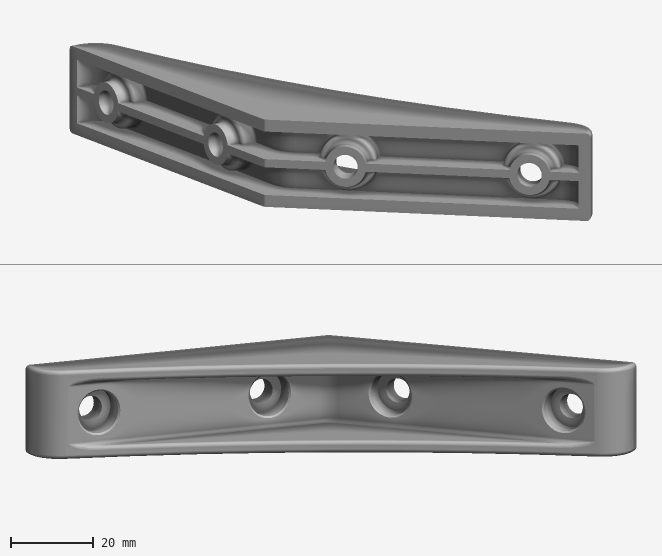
import cadquery as cq
import math

overall_length = 136.6
width = 22.0
bend = math.radians(45)
wall = 3.0
floor_top = 10.0
end_radius = 8.0
curve_radius = 364.6
curve_gap = 31.5
edge_round = 1.0
web_thickness = 2.0
recess_overrun = 6.8

hole_distances = (20.0, 65.0)
hole_diameter = 6.0
counterbore_diameter = 10.5
counterbore_depth = 5.0
mouth_chamfer = 0.4
boss_neck_radius = 5.0
boss_step = 3.0
boss_base_round = 0.7

leg_length = overall_length / (1 + math.cos(bend))
bisector = math.pi / 2 + bend / 2
corner = (leg_length, 0)
floor_bottom = floor_top - wall
inner_end_radius = end_radius - wall
cavity_width = width - 2 * wall
boss_cup_radius = boss_neck_radius + 2 * edge_round


def along_bisector(distance):
    """Point at a distance from the inner corner, measured along the bisector."""
    return (leg_length + distance * math.cos(bisector), distance * math.sin(bisector))


def crease(height):
    """Point where the planes at one height above the two leg faces meet."""
    return along_bisector(height / math.cos(bend / 2))


def on_second_leg(point):
    """Mirror a point of the first leg across the bisector."""
    along = leg_length - point[0]
    across = point[1]
    return (
        leg_length + along * math.cos(bend) - across * math.sin(bend),
        along * math.sin(bend) + across * math.cos(bend),
    )


def on_both_legs(shape):
    """Join a shape on the first leg with its copy, turned half round about the bisector."""
    return shape.union(shape.rotate((*corner, 0), (*along_bisector(1.4), 0), 180))


def edge_at(point):
    """Selector for the Z-parallel edge through a point."""
    reach = 0.07
    x, y = point
    return cq.selectors.BoxSelector((x - reach, y - reach, -width), (x + reach, y + reach, width))


def bent_strip(start, low, high):
    """Band along both legs, from `low` to `high` above the leg faces, as wide as the cavity."""
    lower = [(start, low), crease(low), on_second_leg((start, low))]
    upper = [on_second_leg((start, high)), crease(high), (start, high)]
    outline = cq.Workplane("XY").polyline(lower + upper).close()
    return outline.extrude(cavity_width / 2, both=True)


def make_body():
    """Solid bracket with a concave outer face and rounded edges."""
    center_x, center_y = along_bisector(curve_gap + curve_radius)
    first_end = (0, center_y - math.sqrt(curve_radius**2 - center_x**2))
    second_end = on_second_leg(first_end)
    body = (
        cq.Workplane("XY")
        .lineTo(*corner)
        .lineTo(*on_second_leg((0, 0)))
        .lineTo(*second_end)
        .threePointArc(along_bisector(curve_gap), first_end)
        .close()
        .extrude(width / 2, both=True)
    )
    for end in (first_end, second_end):
        body = body.edges(edge_at(end)).fillet(end_radius)
    body = body.faces("|Z").edges("%CIRCLE").fillet(edge_round)
    return body.edges(edge_at(corner)).fillet(edge_round)


def make_cavity():
    """Hollow under the screw floor, open at the leg faces and split by a thin web."""
    cavity = bent_strip(wall, 0, floor_bottom)
    end_corner = (wall, floor_bottom)
    for point in (end_corner, on_second_leg(end_corner)):
        cavity = cavity.edges(edge_at(point)).fillet(inner_end_radius)
    cavity = cavity.edges(edge_at(crease(floor_bottom))).fillet(inner_end_radius + wall)
    plate_size = 3 * overall_length
    web = cq.Workplane("XY").box(plate_size, plate_size, web_thickness)
    return cavity.cut(web)


def make_recess():
    """Pocket above the screw floor, open at the concave face."""
    recess = bent_strip(-recess_overrun, floor_top, curve_gap + recess_overrun)
    recess = recess.edges(edge_at(crease(floor_top))).fillet(inner_end_radius)
    return recess.faces("|Z").edges("%CIRCLE").fillet(edge_round)


def round_recess_rim(bracket):
    """Round the long edges where the pocket meets the concave face."""
    margin = 0.1
    depth = cavity_width / 2 + margin
    pocket_zone = cq.selectors.BoxSelector((0, 0, -depth), (overall_length, overall_length, depth))
    largest = cq.selectors.RadiusNthSelector(-1)
    return bracket.edges(pocket_zone).edges("%CIRCLE").edges(largest).fillet(edge_round)


def revolve_on_leg(profile):
    """Turn a closed half profile about its own Y axis."""
    return profile.close().revolve(360, (0, 0, 0), (0, 1, 0))


def screw_axis(distance):
    """Workplane on the first leg: X is the radius from the screw axis, Y the height."""
    return cq.Workplane("XY", origin=(leg_length - distance, 0, 0))


def make_boss(distance):
    """Stepped boss from the leg face up into the screw floor."""
    top = floor_bottom + wall / 2
    profile = (
        screw_axis(distance)
        .lineTo(boss_neck_radius, 0)
        .lineTo(boss_neck_radius, boss_step - edge_round)
        .radiusArc((boss_neck_radius + edge_round, boss_step), edge_round)
        .radiusArc((boss_cup_radius, boss_step + edge_round), -edge_round)
        .lineTo(boss_cup_radius, floor_bottom - boss_base_round)
        .radiusArc((boss_cup_radius + boss_base_round, floor_bottom), boss_base_round)
        .lineTo(boss_cup_radius, top)
        .lineTo(0, top)
    )
    return revolve_on_leg(profile)


def make_screw_hole(distance):
    """Through hole with a chamfered counterbore sunk into the screw floor."""
    hole_radius = hole_diameter / 2
    bore_radius = counterbore_diameter / 2
    bore_floor = floor_top - counterbore_depth
    profile = (
        screw_axis(distance)
        .lineTo(hole_radius, 0)
        .lineTo(hole_radius, bore_floor)
        .lineTo(bore_radius, bore_floor)
        .lineTo(bore_radius, floor_top - mouth_chamfer)
        .lineTo(bore_radius + mouth_chamfer, floor_top)
        .lineTo(0, floor_top)
    )
    return revolve_on_leg(profile)


result = make_body().cut(make_cavity()).cut(make_recess())
result = round_recess_rim(result)
for hole_distance in hole_distances:
    result = result.union(on_both_legs(make_boss(hole_distance)))
    result = result.cut(on_both_legs(make_screw_hole(hole_distance)))
result = result.solids()